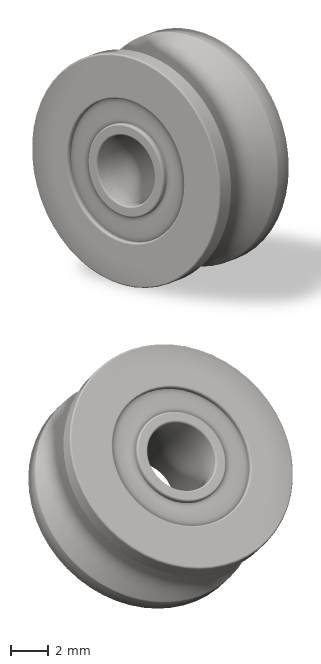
import cadquery as cq
import math

outer_radius = 6.5
width = 6.0
half_width = width / 2

groove_depth = 2.0
root_radius = outer_radius - groove_depth
groove_half_width = groove_depth

bore_radius = 1.98
hub_radius = 2.6
recess_radius = 4.0
recess_depth = 0.3

edge_radius = 0.1


def make_body():
    """Revolve the section (radius, axial position) about the Y axis."""
    section = [
        (bore_radius, -half_width),
        (outer_radius, -half_width),
        (outer_radius, -groove_half_width),
        (root_radius, 0),
        (outer_radius, groove_half_width),
        (outer_radius, half_width),
        (bore_radius, half_width),
    ]
    return cq.Workplane("XY").polyline(section).close().revolve(360, (0, 0, 0), (0, 1, 0))


def make_recess(floor_position):
    """Ring cutter running from floor_position towards +Y by the recess depth."""
    return (
        cq.Workplane("XZ", origin=(0, floor_position, 0))
        .circle(recess_radius)
        .circle(hub_radius)
        .extrude(-recess_depth)
    )


body = make_body()
for floor_position in (-half_width, half_width - recess_depth):
    body = body.cut(make_recess(floor_position))

end_edges = body.faces("<Y or >Y").edges()
groove_rims = body.edges("%CIRCLE").filter(
    lambda edge: math.isclose(abs(edge.Center().y), groove_half_width)
)
result = end_edges.add(groove_rims).fillet(edge_radius)